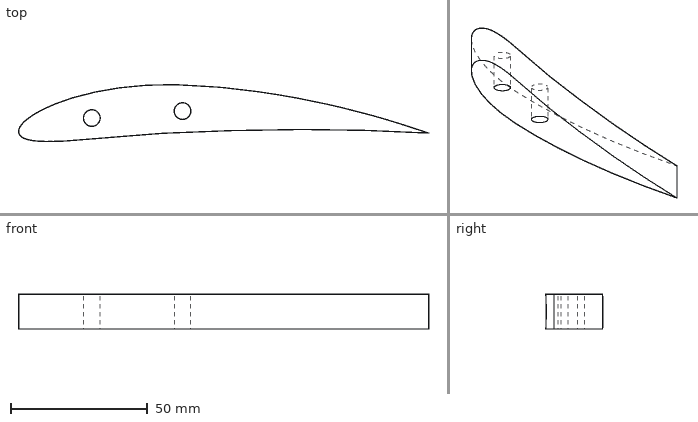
import cadquery as cq
import math

overall_length = 150.0
nose_overhang = 0.00057
chord = overall_length / (1 + nose_overhang)
rib_thickness = 12.8
max_camber = 0.06
camber_position = 0.4
max_thickness = 0.12
points_per_side = 24

hole_diameter = 6.0
hole_centres = [(26.7, 5.5), (59.9, 8.1)]


def half_thickness(x):
    """Half thickness at chord fraction x, closing to a sharp trailing edge."""
    return 5 * max_thickness * (
        0.2969 * math.sqrt(x) - 0.1260 * x - 0.3516 * x**2 + 0.2843 * x**3 - 0.1036 * x**4
    )


def camber_line(x):
    """Height and slope of the mean line at chord fraction x."""
    span = camber_position if x < camber_position else 1 - camber_position
    offset = camber_position - x
    height = max_camber * (1 - (offset / span) ** 2)
    slope = 2 * max_camber * offset / span**2
    return height, slope


def surface_point(x, side):
    """Point on the upper (side = 1) or lower (side = -1) surface."""
    height, slope = camber_line(x)
    angle = math.atan(slope)
    offset = side * half_thickness(x)
    return (
        chord * (x - offset * math.sin(angle)),
        chord * (height + offset * math.cos(angle)),
    )


stations = [(1 - math.cos(math.pi * i / points_per_side)) / 2 for i in range(points_per_side + 1)]
upper_side = [surface_point(x, 1) for x in reversed(stations)]
lower_side = [surface_point(x, -1) for x in stations[1:-1]]
trailing_edge = (chord, 0)

rib = (
    cq.Workplane("XY")
    .moveTo(*trailing_edge)
    .spline(upper_side[1:] + lower_side + [trailing_edge], includeCurrent=True)
    .close()
    .extrude(rib_thickness)
)

holes = cq.Workplane("XY").pushPoints(hole_centres).circle(hole_diameter / 2).extrude(rib_thickness)

result = rib.cut(holes)